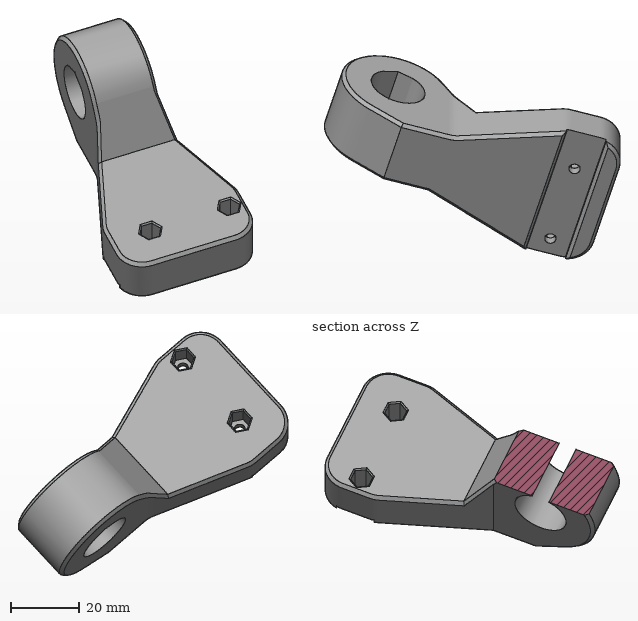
import cadquery as cq
import math

length = 83.6
arm_width = 20.0
plate_back_y = 21.5
plate_front_y = -21.0
plate_height = 14.55
shoulder_x = 65.2
flare_angle = 19.1
front_neck_x = 34.1
corner_radius = 8.0
edge_chamfer = 1.0

boss_radius = 17.0
boss_x = boss_radius
boss_z = 20.4
heel_x = 18.2
ramp_foot_x = 40.6

bore_radius = 8.2
roof_peak = 8.6
roof_half_angle = 34.0

channel_center_x = 71.3
channel_width = 12.0
channel_depth = 2.0
hole_diameter = 3.3
hole_positions_y = (16.5, -8.5)
nut_flats = 5.7
nut_chamfer = 0.4
nut_floor_z = 5.0

selection_margin = 0.8


def tangent_point(x, z, side):
    """Point where a line from (x, z) touches the boss; side is +1 or -1."""
    dx = x - boss_x
    dz = z - boss_z
    angle = math.atan2(dz, dx) + side * math.acos(boss_radius / math.hypot(dx, dz))
    return boss_x + boss_radius * math.cos(angle), boss_z + boss_radius * math.sin(angle)


def make_side_profile():
    """Side outline: boss, ramp down to the plate and sloping heel."""
    left_of_boss = boss_x - boss_radius, boss_z
    return (
        cq.Workplane("XZ")
        .moveTo(heel_x, 0)
        .lineTo(length, 0)
        .lineTo(length, plate_height)
        .lineTo(ramp_foot_x, plate_height)
        .lineTo(*tangent_point(ramp_foot_x, plate_height, 1))
        .threePointArc(left_of_boss, tangent_point(heel_x, 0, -1))
        .close()
        .extrude(length, both=True)
    )


def make_plan():
    """Plan outline: straight arm flaring out into the plate."""
    half_arm = arm_width / 2
    flare_slope = math.tan(math.radians(flare_angle))
    back_neck_x = shoulder_x - (plate_back_y - half_arm) / flare_slope
    plan = (
        cq.Workplane("XY")
        .polyline([
            (0, -half_arm),
            (front_neck_x, -half_arm),
            (shoulder_x, plate_front_y),
            (length, plate_front_y),
            (length, plate_back_y),
            (shoulder_x, plate_back_y),
            (back_neck_x, half_arm),
            (0, half_arm),
        ])
        .close()
        .extrude(boss_z + boss_radius)
    )
    plate_corners = cq.selectors.BoxSelector(
        (shoulder_x - selection_margin, -length, 0),
        (length + selection_margin, length, length),
    )
    front_neck = cq.selectors.NearestToPointSelector((front_neck_x, -half_arm, boss_z))
    plan = plan.edges(plate_corners).edges("|Z").fillet(corner_radius)
    return plan.edges("|Z").edges(front_neck).fillet(corner_radius)


def make_body():
    """Chamfer the rim; creases across the arm and upright edges stay sharp."""
    body = make_side_profile().intersect(make_plan())
    return body.edges("(not(|Y or |Z)) or (|Y and >X)").chamfer(edge_chamfer)


def make_bore():
    roof_x = bore_radius * math.sin(math.radians(roof_half_angle))
    roof_z = bore_radius * math.cos(math.radians(roof_half_angle))
    return (
        cq.Workplane("XZ", origin=(boss_x, 0, boss_z))
        .moveTo(0, roof_peak)
        .lineTo(roof_x, roof_z)
        .threePointArc((0, -bore_radius), (-roof_x, roof_z))
        .close()
        .extrude(arm_width, both=True)
    )


def make_channel():
    """Channel across the underside with a chamfered mouth."""
    half_width = channel_width / 2
    half_mouth = half_width + edge_chamfer
    return (
        cq.Workplane("XZ", origin=(channel_center_x, 0, 0))
        .polyline([
            (-half_mouth, 0),
            (-half_width, edge_chamfer),
            (-half_width, channel_depth),
            (half_width, channel_depth),
            (half_width, edge_chamfer),
            (half_mouth, 0),
        ])
        .close()
        .extrude(length, both=True)
    )


def hexagon(z, flats):
    """Hexagon on the hole axis, with corners pointing along Y."""
    corner_diameter = flats / math.cos(math.pi / 6)
    return (
        cq.Workplane("XY", origin=(channel_center_x, 0, z))
        .transformed(rotate=(0, 0, 90))
        .polygon(6, corner_diameter)
    )


def make_screw_hole(y):
    """Through hole with a hexagonal nut pocket and chamfered mouth."""
    hole = (
        cq.Workplane("XY", origin=(channel_center_x, 0, 0))
        .circle(hole_diameter / 2)
        .extrude(plate_height)
    )
    pocket = hexagon(nut_floor_z, nut_flats).extrude(plate_height - nut_floor_z)
    mouth = (
        hexagon(plate_height, nut_flats + 2 * nut_chamfer)
        .extrude(-nut_chamfer, taper=45)
    )
    return hole.union(pocket).union(mouth).translate((0, y, 0))


result = make_body().cut(make_bore()).cut(make_channel())
for hole_y in hole_positions_y:
    result = result.cut(make_screw_hole(hole_y))